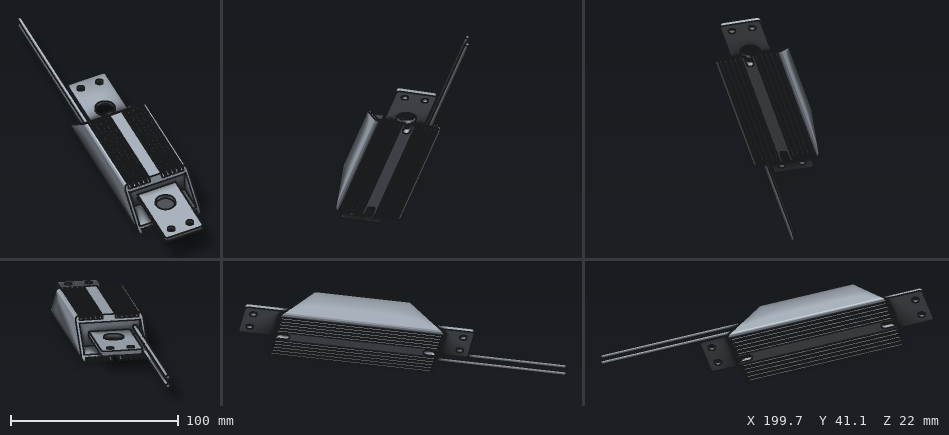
import cadquery as cq

housing_length = 99.9
housing_width = 41.1
housing_height = 22.0
corner_radius = 2.0
side_wall = 2.0
bore_height = 15.0

groove_width = 2.0
groove_depth = 2.0
fin_width = 1.0
band_width = 8.0
grooves_per_side = 5

terminal_length = 50.0
terminal_width = 25.0
terminal_thickness = 3.0
terminal_corner_radius = 2.0
terminal_reach = 19.8
bolt_hole_diameter = 4.2
bolt_hole_spacing = 12.4
bolt_hole_inset = 6.0

mounting_x = 42.5
access_hole_diameter = 12.0
slot_width = 4.2

wire_diameter = 2.5
wire_reach = 80.0
wire_y = -15.5
wire_spacing = 5.4

core_length = 60.0

mid_z = housing_height / 2
bore_width = housing_width - 2 * side_wall
floor_thickness = (housing_height - bore_height) / 2
terminal_end_x = housing_length / 2 + terminal_reach
terminal_mid_x = terminal_end_x - terminal_length / 2
wire_end_x = -housing_length / 2 - wire_reach
wire_length = -core_length / 2 - wire_end_x


def make_housing():
    body = (
        cq.Workplane("XY")
        .box(housing_length, housing_width, housing_height)
        .edges("|X")
        .fillet(corner_radius)
        .translate((0, 0, mid_z))
    )
    bore = cq.Workplane("XY").box(housing_length, bore_width, bore_height).translate((0, 0, mid_z))
    body = body.cut(bore)

    for index in range(grooves_per_side):
        groove_y = (band_width + groove_width) / 2 + index * (groove_width + fin_width)
        for y in (-groove_y, groove_y):
            for z in (groove_depth / 2, housing_height - groove_depth / 2):
                groove = cq.Workplane("XY").box(housing_length, groove_width, groove_depth)
                body = body.cut(groove.translate((0, y, z)))

    slot_run = housing_length / 2 - mounting_x
    for side in (-1, 1):
        slot = (
            cq.Workplane("XY")
            .center(side * mounting_x, 0)
            .circle(slot_width / 2)
            .extrude(floor_thickness)
        )
        open_end = (
            cq.Workplane("XY")
            .center(side * (mounting_x + slot_run / 2), 0)
            .rect(slot_run, slot_width)
            .extrude(floor_thickness)
        )
        body = body.cut(slot).cut(open_end)

    half_bottom = housing_length / 2
    half_top = half_bottom - housing_height
    profile = (
        cq.Workplane("XZ")
        .polyline([
            (-half_bottom, 0),
            (half_bottom, 0),
            (half_top, housing_height),
            (-half_top, housing_height),
        ])
        .close()
        .extrude(housing_width / 2, both=True)
    )
    return body.intersect(profile)


def make_terminal(side):
    """Strip on the +X side (side = 1) or the -X side (side = -1)."""
    bolt_hole_x = terminal_end_x - bolt_hole_inset
    return (
        cq.Workplane("XY")
        .box(terminal_length, terminal_width, terminal_thickness)
        .edges("|Z")
        .fillet(terminal_corner_radius)
        .translate((side * terminal_mid_x, 0, mid_z))
        .faces(">Z")
        .workplane(origin=(0, 0, mid_z))
        .pushPoints([(side * mounting_x, 0)])
        .hole(access_hole_diameter)
        .pushPoints([(side * bolt_hole_x, y) for y in (-bolt_hole_spacing / 2, bolt_hole_spacing / 2)])
        .hole(bolt_hole_diameter)
    )


def make_wire(z):
    return (
        cq.Workplane("YZ", origin=(wire_end_x, wire_y, z))
        .circle(wire_diameter / 2)
        .extrude(wire_length)
    )


def make_core(terminals):
    """Block filling the bore, with a matching recess for each terminal."""
    core = cq.Workplane("XY").box(core_length, bore_width, bore_height).translate((0, 0, mid_z))
    for terminal in terminals:
        core = core.cut(terminal)
    return core


housing = make_housing()
terminals = [make_terminal(side) for side in (-1, 1)]
wires = [make_wire(mid_z + offset) for offset in (-wire_spacing / 2, wire_spacing / 2)]
core = make_core(terminals)

result = cq.Compound.makeCompound([
    housing.solids().val(),
    core.solids().val(),
    *[terminal.solids().val() for terminal in terminals],
    *[wire.val() for wire in wires],
])